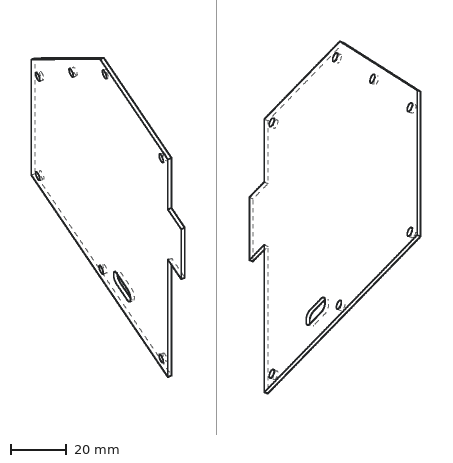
import cadquery as cq

body_width = 104.14
height = 127.0
thickness = 1.5

slope_top_x = 52.6
slope_foot_z = 67.3

tab_length = 10.16
tab_bottom_z = 68.58
tab_height = 29.21

hole_diameter = 3.3
hole_inset = 5.08
bottom_hole_x = 53.34
top_hole_x = 55.88
slope_hole_x = 30.48
slope_hole_z = 94.1
left_hole_z = 63.0

window_width = 12.7
window_height = 6.35
window_corner_radius = 2.54
window_center_x = 69.2
window_center_z = 13.2

right_hole_x = body_width - hole_inset
top_hole_z = height - hole_inset
hole_centers = [
    (hole_inset, hole_inset),
    (bottom_hole_x, hole_inset),
    (right_hole_x, hole_inset),
    (right_hole_x, top_hole_z),
    (top_hole_x, top_hole_z),
    (slope_hole_x, slope_hole_z),
    (hole_inset, left_hole_z),
]


def extrude_plate_depth(sketch):
    """Extrude an XZ profile from Y = 0 to Y = thickness."""
    return sketch.extrude(-thickness)


def make_plate():
    """Plate with its sloped corner."""
    outline = [
        (0, 0),
        (body_width, 0),
        (body_width, height),
        (slope_top_x, height),
        (0, slope_foot_z),
    ]
    return extrude_plate_depth(cq.Workplane("XZ").polyline(outline).close())


def make_tab():
    """Rectangular tab standing out from the right edge."""
    corner = cq.Workplane("XZ").moveTo(body_width, tab_bottom_z)
    return extrude_plate_depth(corner.rect(tab_length, tab_height, centered=False))


def make_holes():
    """Cutters for the mounting holes."""
    return extrude_plate_depth(cq.Workplane("XZ").pushPoints(hole_centers).circle(hole_diameter / 2))


def make_window():
    """Cutter for the rounded window."""
    center = cq.Workplane("XZ").center(window_center_x, window_center_z)
    block = extrude_plate_depth(center.rect(window_width, window_height))
    return block.edges("|Y").fillet(window_corner_radius)


result = make_plate().union(make_tab()).cut(make_holes()).cut(make_window())